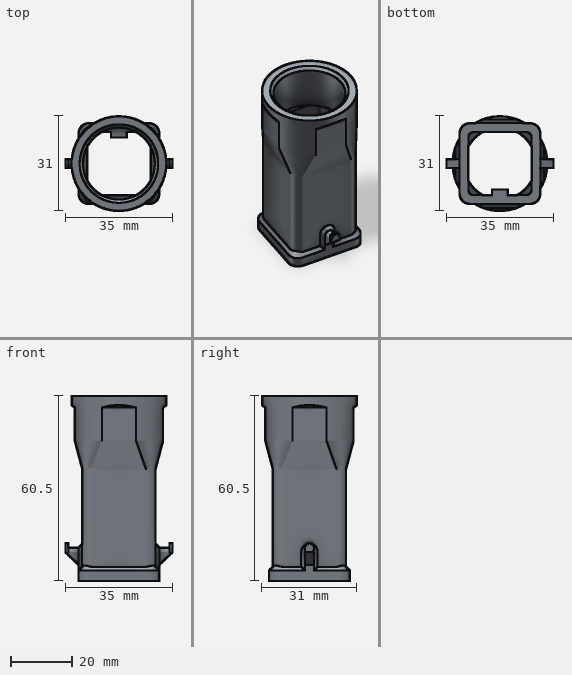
import cadquery as cq
import math

total_height = 60.5
latch_span = 35.0

collar_radius = 15.5
flat_offset = 14.45
flat_top = 56.7
flat_top_rise = 0.85
transition_top = 45.9
transition_bottom = 36.7

shaft_width = 24.0
shaft_corner = 3.2
base_height = 3.5
base_width = 26.45
base_corner = 3.45
base_flare = (base_width - shaft_width) / 2
shoulder_rise = 1.8

bore_radius = 11.75
bore_chamfer = 1.1
bore_bottom = 44.8
cavity_width = 20.65
cavity_corner = 1.8
key_width = 5.2
key_depth = 1.9

lug_width = 2.95
lug_radius = lug_width / 2
lug_axis_height = 9.5
lug_slope_drop = 4.1
tip_thickness = 1.0
tip_top = 12.45
boss_foot_radius = lug_radius + base_flare

base_face = base_width / 2
shaft_face = shaft_width / 2
lug_end = latch_span / 2


def rounded_square(width, corner, bottom, height):
    block = cq.Workplane("XY").box(width, width, height, centered=(True, True, False))
    return block.edges("|Z").fillet(corner).translate((0, 0, bottom))


def section_wire(face, corner_edge, radius, height):
    """Four straight sides joined by corner arcs of the given radius.

    face is the distance from the axis to a side, corner_edge is half the side length.
    """
    half_chord = (face - corner_edge) / math.sqrt(2)
    bulge = radius - math.sqrt(radius**2 - half_chord**2)
    diagonal = (face + corner_edge) / 2 + bulge / math.sqrt(2)
    outline = cq.Workplane("XY").workplane(offset=height).moveTo(corner_edge, -face)
    outline = outline.threePointArc((diagonal, -diagonal), (face, -corner_edge))
    outline = outline.lineTo(face, corner_edge)
    outline = outline.threePointArc((diagonal, diagonal), (corner_edge, face))
    outline = outline.lineTo(-corner_edge, face)
    outline = outline.threePointArc((-diagonal, diagonal), (-face, corner_edge))
    outline = outline.lineTo(-face, -corner_edge)
    outline = outline.threePointArc((-diagonal, -diagonal), (-corner_edge, -face))
    return outline.close().val()


def make_collar():
    """Cylinder with four flats, each ending upward in a sloped face."""
    collar = cq.Workplane("XY").workplane(offset=transition_top)
    collar = collar.circle(collar_radius).extrude(total_height - transition_top)
    cutter = (
        cq.Workplane("XZ")
        .moveTo(flat_offset, transition_top)
        .lineTo(collar_radius, transition_top)
        .lineTo(collar_radius, flat_top + flat_top_rise)
        .lineTo(flat_offset, flat_top)
        .close()
        .extrude(collar_radius, both=True)
    )
    for angle in (0, 90, 180, 270):
        collar = collar.cut(cutter.rotate((0, 0, 0), (0, 0, 1), angle))
    return collar


def make_transition():
    """Ruled blend from the square shaft to the flatted collar."""
    flat_half_width = math.sqrt(collar_radius**2 - flat_offset**2)
    lower = section_wire(shaft_face, shaft_face - shaft_corner, shaft_corner, transition_bottom)
    upper = section_wire(flat_offset, flat_half_width, collar_radius, transition_top)
    return cq.Workplane(cq.Solid.makeLoft([lower, upper], True))


def make_base():
    """Rim with a sloped shoulder up to the shaft."""
    rim = rounded_square(base_width, base_corner, 0, base_height + shoulder_rise)
    return rim.faces(">Z").chamfer(shoulder_rise)


def make_lug():
    """Latch lug on the +X side, with its flared boss."""
    boss_cone = cq.Workplane(
        cq.Solid.makeCone(
            boss_foot_radius,
            lug_radius,
            base_flare,
            cq.Vector(shaft_face, 0, lug_axis_height),
            cq.Vector(1, 0, 0),
        )
    )
    boss_stem = (
        cq.Workplane("XY")
        .polyline(
            [
                (shaft_face, -boss_foot_radius),
                (base_face, -lug_radius),
                (base_face, lug_radius),
                (shaft_face, boss_foot_radius),
            ]
        )
        .close()
        .extrude(lug_axis_height)
    )

    pin = (
        cq.Workplane("YZ")
        .workplane(offset=shaft_face)
        .center(0, lug_axis_height)
        .circle(lug_radius)
        .extrude(lug_end - shaft_face)
        .intersect(
            cq.Workplane("XY")
            .box(2 * lug_end, lug_width, lug_width, centered=(True, True, False))
            .translate((0, 0, lug_axis_height))
        )
    )

    tip_straight = tip_top - lug_radius - lug_axis_height
    tip = (
        cq.Workplane("YZ")
        .workplane(offset=lug_end - tip_thickness)
        .moveTo(-lug_radius, lug_axis_height)
        .lineTo(lug_radius, lug_axis_height)
        .line(0, tip_straight)
        .threePointArc((0, tip_top), (-lug_radius, lug_axis_height + tip_straight))
        .close()
        .extrude(tip_thickness)
    )

    gusset = (
        cq.Workplane("XZ")
        .moveTo(shaft_face, lug_axis_height)
        .lineTo(lug_end, lug_axis_height)
        .lineTo(base_face, lug_axis_height - lug_slope_drop)
        .lineTo(shaft_face, lug_axis_height - lug_slope_drop)
        .close()
        .extrude(lug_radius, both=True)
    )
    return boss_stem.union(boss_cone).union(pin).union(gusset).union(tip)


def make_interior():
    """Chamfered round bore above a square cavity with a key on its +Y wall."""
    bore = cq.Workplane("XY").workplane(offset=bore_bottom)
    bore = bore.circle(bore_radius).extrude(total_height - bore_bottom)
    mouth = cq.Workplane(
        cq.Solid.makeCone(
            bore_radius,
            bore_radius + bore_chamfer,
            bore_chamfer,
            cq.Vector(0, 0, total_height - bore_chamfer),
        )
    )
    cavity = rounded_square(cavity_width, cavity_corner, 0, bore_bottom)
    key = (
        cq.Workplane("XY")
        .box(key_width, key_depth, bore_bottom, centered=(True, False, False))
        .translate((0, cavity_width / 2 - key_depth, 0))
    )
    return bore.union(mouth).union(cavity.cut(key))


shaft = rounded_square(shaft_width, shaft_corner, 0, transition_bottom)
lug = make_lug()
body = shaft.union(make_base()).union(make_transition()).union(make_collar())
body = body.union(lug).union(lug.mirror("YZ"))
result = body.cut(make_interior())